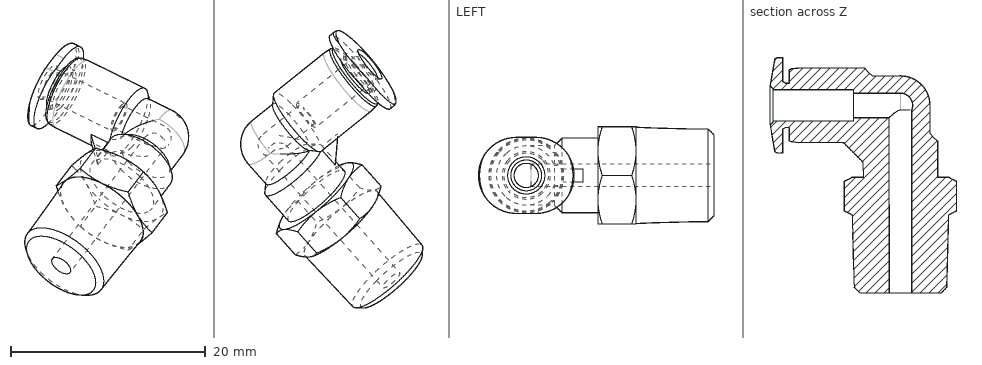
import cadquery as cq
import math


pipe_radius = 3.05
barrel_radius = 3.85
barrel_start = 2.88
barrel_chamfer = barrel_radius - pipe_radius

hex_across_flats = 10.0
hex_start = 7.35
hex_length = 3.92
hex_chamfer_angle = 30.0
stud_tip = 19.29
stud_root_radius = 4.95
stud_end_radius = 4.77
stud_chamfer = 0.6

port_face = 11.42
port_face_radius = 3.65
port_ring_start = 11.18
port_ring_radius = 3.78
port_ring_end = 10.43

sleeve_tip = 13.4
sleeve_neck_radius = 4.57 / 2
collar_back = 12.08
collar_length = 9.83
collar_width = 7.85
collar_rim = 12.9
bevel_length = 0.25
bevel_depth = 0.12
flare_length = 0.3
flare_height = 0.17

tube_bore_radius = 3.17 / 2
tube_bore_end = 4.85
inner_bore_radius = 2.5 / 2
stud_bore_radius = 2.3 / 2
mouth_radius = 3.82 / 2

web_width = 1.35
web_leg = 1.98


def turned_on_x(outline):
    """Revolve (distance towards -X, radius) points about the X axis."""
    points = [(-distance, radius) for distance, radius in outline]
    return cq.Workplane("XY").polyline(points).close().revolve(360, (0, 0), (1, 0))


def turned_on_y(outline):
    """Revolve (distance towards -Y, radius) points about the Y axis."""
    points = [(radius, -distance) for distance, radius in outline]
    return cq.Workplane("XY").polyline(points).close().revolve(360, (0, 0), (0, 1))


def make_elbow():
    """Two pipes joined by a spherical corner."""
    pipe_length = barrel_start + barrel_chamfer
    along_x = cq.Workplane("YZ").circle(pipe_radius).extrude(-pipe_length)
    along_y = cq.Workplane("XZ").circle(pipe_radius).extrude(pipe_length)
    return cq.Workplane("XY").sphere(pipe_radius).union(along_x).union(along_y)


def make_port():
    """Tube port barrel with its stepped end ring."""
    return turned_on_x([
        (barrel_start, 0),
        (barrel_start, pipe_radius),
        (barrel_start + barrel_chamfer, barrel_radius),
        (port_ring_end, barrel_radius),
        (port_ring_start, port_ring_radius),
        (port_face, port_face_radius),
        (port_face, 0),
    ])


def make_stud():
    """Stud barrel followed by the tapered stud."""
    return turned_on_y([
        (barrel_start, 0),
        (barrel_start, pipe_radius),
        (barrel_start + barrel_chamfer, barrel_radius),
        (hex_start, barrel_radius),
        (hex_start + hex_length, stud_root_radius),
        (stud_tip - stud_chamfer, stud_end_radius),
        (stud_tip, stud_end_radius - stud_chamfer),
        (stud_tip, 0),
    ])


def make_hexagon():
    """Hexagon with flats facing +Z and -Z and corners chamfered at both ends."""
    corner_radius = hex_across_flats / math.sqrt(3)
    flat_radius = hex_across_flats / 2
    slope = math.tan(math.radians(hex_chamfer_angle))
    chamfer_depth = (corner_radius - flat_radius) * slope
    hex_end = hex_start + hex_length
    prism = (
        cq.Workplane("XZ", origin=(0, -hex_start, 0))
        .polygon(6, 2 * corner_radius)
        .extrude(hex_length)
    )
    envelope = turned_on_y([
        (hex_start, 0),
        (hex_start, flat_radius),
        (hex_start + chamfer_depth, corner_radius),
        (hex_end - chamfer_depth, corner_radius),
        (hex_end, flat_radius),
        (hex_end, 0),
    ])
    return prism.intersect(envelope)


def make_sleeve():
    """Release sleeve with its conical face and a conical flare behind the collar."""
    oblong = (
        cq.Workplane("YZ", origin=(-collar_back, 0, 0))
        .slot2D(collar_length, collar_width)
        .extrude(collar_back - sleeve_tip)
    )
    half_length = collar_length / 2
    face_cone = turned_on_x([
        (collar_back, 0),
        (collar_back, half_length),
        (collar_rim - bevel_length, half_length),
        (collar_rim, half_length - bevel_depth),
        (sleeve_tip, mouth_radius),
        (sleeve_tip, 0),
    ])
    neck = turned_on_x([
        (barrel_start, 0),
        (barrel_start, sleeve_neck_radius),
        (collar_back - flare_length, sleeve_neck_radius),
        (collar_back, sleeve_neck_radius + flare_height),
        (collar_back, 0),
    ])
    return oblong.intersect(face_cone).union(neck)


def make_web():
    """Triangular web in the inner corner between the two barrels."""
    inner = -barrel_start
    outer = -barrel_radius - web_leg
    return (
        cq.Workplane("XY", origin=(0, 0, -web_width / 2))
        .polyline([
            (inner, inner),
            (outer, inner),
            (outer, -barrel_radius),
            (-barrel_radius, outer),
            (inner, outer),
        ])
        .close()
        .extrude(web_width)
    )


def make_bores():
    """Round-mouthed tube bore and stud bore meeting in a sphere."""
    mouth_rounding = mouth_radius - tube_bore_radius
    tube_bore = (
        cq.Workplane("XY")
        .lineTo(0, inner_bore_radius)
        .lineTo(-tube_bore_end, inner_bore_radius)
        .lineTo(-tube_bore_end, tube_bore_radius)
        .lineTo(mouth_rounding - sleeve_tip, tube_bore_radius)
        .radiusArc((-sleeve_tip, mouth_radius), -mouth_rounding)
        .lineTo(-sleeve_tip, 0)
        .close()
        .revolve(360, (0, 0), (1, 0))
    )
    stud_bore = cq.Workplane("XZ").circle(stud_bore_radius).extrude(stud_tip)
    return cq.Workplane("XY").sphere(inner_bore_radius).union(tube_bore).union(stud_bore)


body = make_elbow()
for feature in (make_port(), make_stud(), make_hexagon(), make_sleeve(), make_web()):
    body = body.union(feature)
result = body.cut(make_bores())